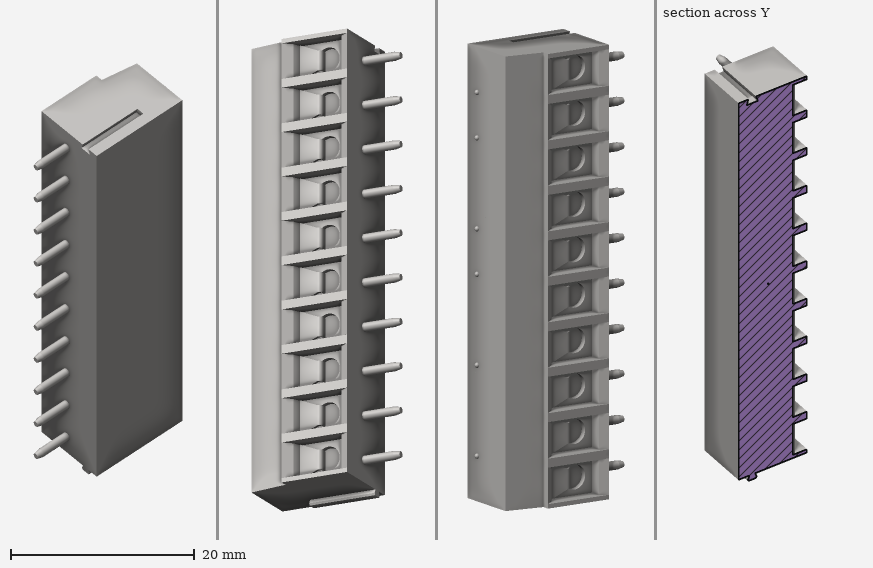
import cadquery as cq

pole_count = 10
pole_pitch = 5.08
row_length = pole_count * pole_pitch
body_depth = 9.0
body_height = 12.5
step_height = 8.0
slant_bottom_x = 0.9
slant_top_x = 1.6

divider_thickness = 1.0
pocket_width = pole_pitch - divider_thickness
ledge_depth = 0.85
ledge_bottom_y = 7.0
floor_depth = 1.9
floor_top_y = 6.55
sill_depth = 0.53
sill_top_y = 0.95

hole_radius = 1.4
hole_center_y = 3.27
hole_depth = 0.65

leaf_rise = 0.35
leaf_bend_radius = 0.45
leaf_end_y = 3.95
leaf_end_width = 2.3

pin_x = 4.1
pin_radius = 0.5
pin_length = 4.5
pin_tip_length = 0.75
pin_tip_radius = 0.35

dovetail_x = 7.19
tail_neck_width = 0.8
tail_wide_width = 1.2
tail_tip_width = 1.0
tail_wide_offset = 0.45
tail_length = 0.69
dovetail_clearance = 0.15
groove_neck_width = tail_neck_width + dovetail_clearance
groove_wide_width = tail_wide_width + dovetail_clearance
groove_depth = tail_length

bump_radius = 0.3
bump_x = 7.1
bump_boundaries = (1, 2, 4, 5, 7, 9)


def pole_center_z(pole):
    return (pole + 0.5) * pole_pitch


def extrude_between(profile, z_low, z_high):
    return profile.extrude(z_high - z_low).translate((0, 0, z_low))


def make_body():
    outline = (
        cq.Workplane("XY")
        .moveTo(0, 0)
        .lineTo(body_depth, 0)
        .lineTo(body_depth, body_height)
        .lineTo(slant_top_x, body_height)
        .lineTo(slant_bottom_x, step_height)
        .lineTo(0, step_height)
        .close()
    )
    return outline.extrude(row_length)


def make_pocket(center_z):
    profile = (
        cq.Workplane("XY")
        .moveTo(0, 0)
        .lineTo(sill_depth, sill_top_y)
        .lineTo(floor_depth, sill_top_y)
        .lineTo(floor_depth, floor_top_y)
        .lineTo(ledge_depth, ledge_bottom_y)
        .lineTo(0, step_height)
        .close()
    )
    half_width = pocket_width / 2
    return extrude_between(profile, center_z - half_width, center_z + half_width)


def make_wire_hole(center_z):
    return (
        cq.Workplane("YZ", origin=(floor_depth, hole_center_y, center_z))
        .circle(hole_radius)
        .extrude(hole_depth)
    )


def make_leaf(center_z):
    face_x = floor_depth - leaf_rise
    back_x = floor_depth + hole_depth
    bend_start_y = leaf_end_y + leaf_bend_radius
    side_profile = (
        cq.Workplane("XY")
        .moveTo(back_x, leaf_end_y)
        .lineTo(face_x + leaf_bend_radius, leaf_end_y)
        .radiusArc((face_x, bend_start_y), leaf_bend_radius)
        .lineTo(face_x, floor_top_y)
        .lineTo(back_x, floor_top_y)
        .close()
    )
    half_top = pocket_width / 2
    half_end = leaf_end_width / 2
    side = extrude_between(side_profile, center_z - half_top, center_z + half_top)
    plan = (
        cq.Workplane("YZ", origin=(face_x, 0, center_z))
        .moveTo(floor_top_y, half_top)
        .lineTo(bend_start_y, half_end)
        .lineTo(leaf_end_y, half_end)
        .lineTo(leaf_end_y, -half_end)
        .lineTo(bend_start_y, -half_end)
        .lineTo(floor_top_y, -half_top)
        .close()
        .extrude(back_x - face_x)
    )
    return side.intersect(plan)


def make_pin(center_z):
    shank_length = pin_length - pin_tip_length
    profile = (
        cq.Workplane("XY")
        .moveTo(0, 0)
        .lineTo(pin_radius, 0)
        .lineTo(pin_radius, -shank_length)
        .lineTo(pin_tip_radius, -pin_length)
        .lineTo(0, -pin_length)
        .close()
    )
    return profile.revolve(360, (0, 0, 0), (0, 1, 0)).translate((pin_x, 0, center_z))


def make_groove():
    half_neck = groove_neck_width / 2
    half_wide = groove_wide_width / 2
    return (
        cq.Workplane("XZ", origin=(dovetail_x, 0, row_length))
        .moveTo(-half_neck, 0)
        .lineTo(half_neck, 0)
        .lineTo(half_wide, -groove_depth)
        .lineTo(-half_wide, -groove_depth)
        .close()
        .extrude(-step_height)
    )


def make_tail():
    half_neck = tail_neck_width / 2
    half_wide = tail_wide_width / 2
    half_tip = tail_tip_width / 2
    return (
        cq.Workplane("XZ", origin=(dovetail_x, 0, 0))
        .moveTo(-half_neck, 0)
        .lineTo(half_neck, 0)
        .lineTo(half_wide, -tail_wide_offset)
        .lineTo(half_tip, -tail_length)
        .lineTo(-half_tip, -tail_length)
        .lineTo(-half_wide, -tail_wide_offset)
        .close()
        .extrude(-step_height)
    )


def make_bump(boundary):
    bump_z = row_length - boundary * pole_pitch
    return cq.Workplane("XY").sphere(bump_radius).translate((bump_x, body_height, bump_z))


result = make_body().cut(make_groove()).union(make_tail())

for pole in range(pole_count):
    z = pole_center_z(pole)
    result = result.cut(make_pocket(z)).cut(make_wire_hole(z))
    result = result.union(make_leaf(z)).union(make_pin(z))

for boundary in bump_boundaries:
    result = result.union(make_bump(boundary))